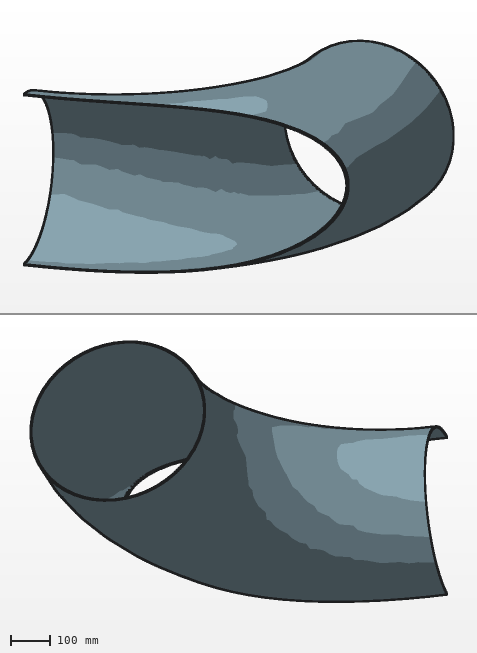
import cadquery as cq

outer_radius = 229.0
bend_radius = 3 * outer_radius
wall = 3.0
bend_angle = 90

inner_radius = outer_radius - wall


def bent_rod(radius):
    """Quarter torus about the Z axis, from the X = 0 end face round to the Y = 0 end face."""
    return (
        cq.Workplane("YZ", origin=(0, -bend_radius, 0))
        .circle(radius)
        .revolve(bend_angle, (bend_radius, 0, 0), (bend_radius, 1, 0))
    )


def trim_waste():
    """Block on the outer side of the bend, square to the XY plane.

    Its curved wall follows the line where elbow and straight pipe meet, the parabola
    y = x^2 / (4 * bend_radius) - bend_radius. A quadratic Bezier curve is exactly this parabola.
    """
    reach = bend_radius + 2 * outer_radius
    rise = reach**2 / (4 * bend_radius)
    depth = 2 * outer_radius
    half_height = 2 * outer_radius
    return (
        cq.Workplane("XY", origin=(0, -bend_radius, 0))
        .bezier([(0, 0), (reach / 2, 0), (reach, rise)])
        .lineTo(reach, -depth)
        .lineTo(0, -depth)
        .close()
        .extrude(half_height, both=True)
    )


pipe_elbow = bent_rod(outer_radius).cut(bent_rod(inner_radius))
result = pipe_elbow.cut(trim_waste())